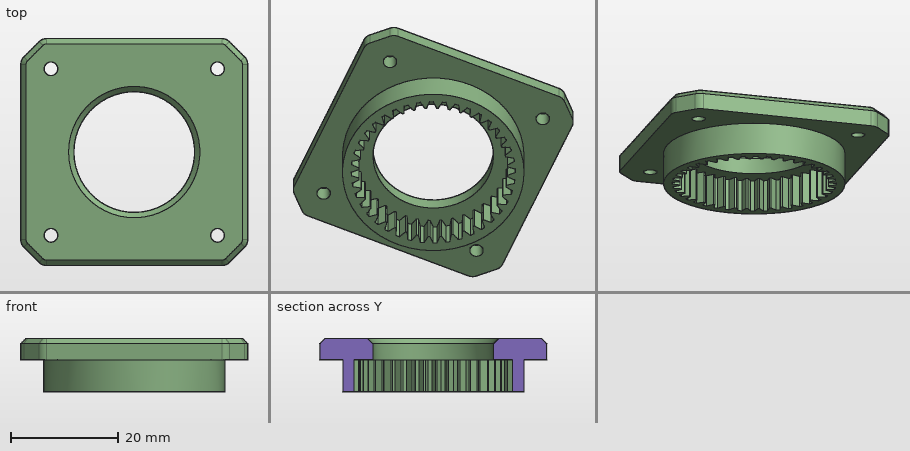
import cadquery as cq
import math

plate_side = 42.3
plate_thickness = 4.0
total_height = 10.0
boss_height = total_height - plate_thickness
boss_diameter = 33.8

corner_cut = 4.0
corner_fillet = 2.0
edge_chamfer = 1.0

bore_diameter = 22.4
screw_hole_diameter = 2.5
screw_hole_spacing = 31.0

tooth_count = 40
tip_radius = 13.87
root_radius = 15.25
tip_land = 0.35
root_land = 0.7
tooth_pitch = 360.0 / tooth_count
first_tooth_angle = 0.75 * tooth_pitch


def polar_point(radius, angle):
    """Point at a radius and an angle in degrees about the part axis."""
    turn = math.radians(angle)
    return radius * math.cos(turn), radius * math.sin(turn)


def make_plate():
    """Flange plate with its bore, edge chamfers and screw holes."""
    plate = cq.Workplane("XY").rect(plate_side, plate_side).extrude(plate_thickness)
    plate = plate.edges("|Z").chamfer(corner_cut)
    plate = plate.edges("|Z").fillet(corner_fillet)
    plate = plate.faces(">Z").workplane().hole(bore_diameter)
    plate = plate.faces(">Z").edges().chamfer(edge_chamfer)
    screw_pattern = plate.faces(">Z").workplane(origin=(0, 0, plate_thickness)).rect(
        screw_hole_spacing, screw_hole_spacing, forConstruction=True
    )
    plate = screw_pattern.vertices().hole(screw_hole_diameter)
    return plate.translate((0, 0, boss_height))


def make_boss():
    """Round boss under the plate."""
    return cq.Workplane("XY").circle(boss_diameter / 2).extrude(boss_height)


def make_gear_cavity():
    """Toothed opening of the ring gear, running the full height of the boss."""
    half_tip_angle = math.degrees(tip_land / tip_radius) / 2
    half_root_angle = math.degrees(root_land / root_radius) / 2
    outline = []
    for tooth in range(tooth_count):
        tip_angle = first_tooth_angle + tooth * tooth_pitch
        root_angle = tip_angle + tooth_pitch / 2
        outline.append(polar_point(tip_radius, tip_angle - half_tip_angle))
        outline.append(polar_point(tip_radius, tip_angle + half_tip_angle))
        outline.append(polar_point(root_radius, root_angle - half_root_angle))
        outline.append(polar_point(root_radius, root_angle + half_root_angle))
    return cq.Workplane("XY").polyline(outline).close().extrude(boss_height)


toothed_ring = make_boss().cut(make_gear_cavity())
result = make_plate().union(toothed_ring)